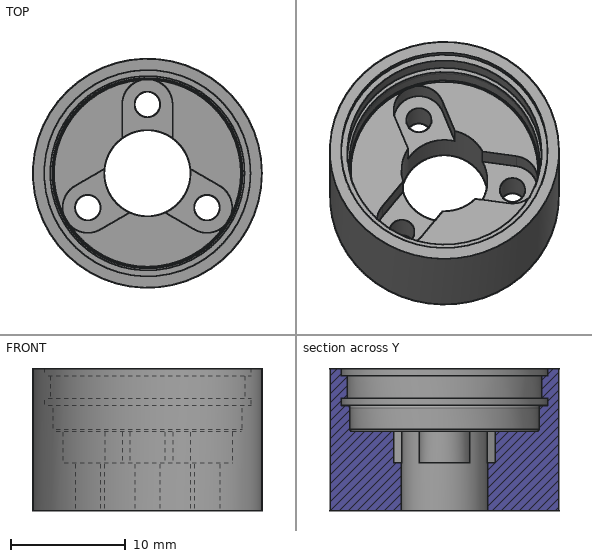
import cadquery as cq

outer_diameter = 20
height = 12.4

mouth_diameter = 18
mouth_depth = 0.6
upper_bore_diameter = 16.95
groove_diameter = 18
groove_top_depth = 2.6
groove_bottom_depth = 3.2
lower_bore_diameter = 16.5
floor_depth = 5.45
lead_in_width = 0.05
lead_in_height = 0.2
floor_bevel_width = 0.1
floor_bevel_height = 0.15

center_bore_diameter = 7.5
arm_count = 3
first_arm_angle = 90
hole_circle_radius = 6
hole_diameter = 2.2
slot_width = 4.4
slot_depth = 2.75


def cut_cylinder(body, diameter, top_depth, bottom_depth):
    """Remove a coaxial cylinder between two depths below the rim."""
    cutter = (
        cq.Workplane("XY")
        .workplane(offset=height - bottom_depth)
        .circle(diameter / 2)
        .extrude(bottom_depth - top_depth)
    )
    return body.cut(cutter)


def lower_bore():
    """Lower bore with a flared mouth and a beveled corner at its floor."""
    radius = lower_bore_diameter / 2
    floor_z = height - floor_depth
    shelf_z = height - groove_bottom_depth
    return (
        cq.Workplane("XZ")
        .moveTo(0, floor_z)
        .lineTo(radius - floor_bevel_width, floor_z)
        .lineTo(radius, floor_z + floor_bevel_height)
        .lineTo(radius, shelf_z - lead_in_height)
        .lineTo(radius + lead_in_width, shelf_z)
        .lineTo(0, shelf_z)
        .close()
        .revolve(360, (0, 0), (0, 1))
    )


def arm_cutter(angle):
    """Round-ended slot from the axis outward, plus its through hole."""
    slot_bottom = height - floor_depth - slot_depth
    plane = cq.Workplane("XY").workplane(offset=slot_bottom)
    channel = (
        plane.center(hole_circle_radius / 2, 0)
        .rect(hole_circle_radius, slot_width)
        .extrude(slot_depth)
    )
    round_end = plane.center(hole_circle_radius, 0).circle(slot_width / 2).extrude(slot_depth)
    hole = cq.Workplane("XY").center(hole_circle_radius, 0).circle(hole_diameter / 2).extrude(height)
    return channel.union(round_end).union(hole).rotate((0, 0, 0), (0, 0, 1), angle)


result = cq.Workplane("XY").circle(outer_diameter / 2).extrude(height)
result = cut_cylinder(result, mouth_diameter, 0, mouth_depth)
result = cut_cylinder(result, upper_bore_diameter, mouth_depth, groove_top_depth)
result = cut_cylinder(result, groove_diameter, groove_top_depth, groove_bottom_depth)
result = result.cut(lower_bore())
result = cut_cylinder(result, center_bore_diameter, floor_depth, height)

for arm in range(arm_count):
    result = result.cut(arm_cutter(first_arm_angle + arm * 360 / arm_count))